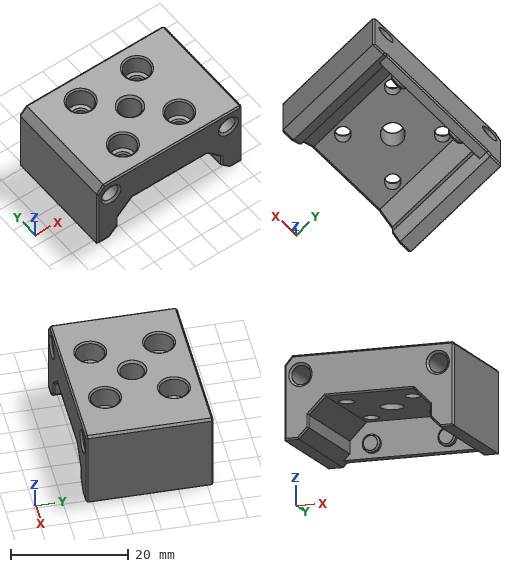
import cadquery as cq

length = 30.8
depth = 22.19
height = 14.75
front_y = -11.33
back_y = front_y + depth
half_length = length / 2
edge_chamfer = 0.3
top_right_chamfer = 0.4
left_bevel_width = 1.4
left_bevel_height = 1.65

channel_height = 7.15
channel_half_width = 11.0
shoulder = 3.05
foot_height = 1.85

wall_thickness = 2.0
wall_bottom = 0.75
wall_overlap = 0.2
pin_diameter = 3.2
pin_length = 1.0
pin_chamfer = 0.3
pin_spacing = 13.75
pin_height = 3.2

center_diameter = 4.2
center_mouth = 5.0
screw_spacing = 12.0
screw_diameter = 2.8
screw_mouth = 3.4
counterbore_diameter = 5.0
counterbore_mouth = 5.6
counterbore_depth = 4.0

side_diameter = 3.4
side_mouth = 4.2
side_spacing = 24.95
side_height = 11.27


def front_plane(y):
    """Plane facing the front (-Y), with local X along X and local Y along Z."""
    return cq.Plane(origin=(0, y, 0), xDir=(1, 0, 0), normal=(0, -1, 0))


def make_body():
    shoulder_bottom = channel_height - shoulder
    channel_top_half_width = channel_half_width - shoulder
    foot_half_width = channel_half_width + foot_height
    profile = (
        cq.Workplane(front_plane(back_y))
        .moveTo(-half_length, 0)
        .lineTo(-half_length, height - left_bevel_height)
        .lineTo(-half_length + left_bevel_width, height)
        .lineTo(half_length - top_right_chamfer, height)
        .lineTo(half_length, height - top_right_chamfer)
        .lineTo(half_length, 0)
        .lineTo(foot_half_width, 0)
        .lineTo(channel_half_width, foot_height)
        .lineTo(channel_half_width, shoulder_bottom)
        .lineTo(channel_top_half_width, channel_height)
        .lineTo(-channel_top_half_width, channel_height)
        .lineTo(-channel_half_width, shoulder_bottom)
        .lineTo(-channel_half_width, foot_height)
        .lineTo(-foot_half_width, 0)
        .close()
    )
    return profile.extrude(depth)


def make_rear_wall():
    wall_half_width = channel_half_width + foot_height - wall_bottom
    wall_top = channel_height + wall_overlap
    return (
        cq.Workplane(front_plane(back_y))
        .moveTo(-wall_half_width, wall_bottom)
        .lineTo(wall_half_width, wall_bottom)
        .lineTo(wall_half_width, wall_top)
        .lineTo(-wall_half_width, wall_top)
        .close()
        .extrude(wall_thickness)
    )


def make_pins():
    return (
        cq.Workplane(front_plane(back_y - wall_thickness))
        .pushPoints([(-pin_spacing / 2, pin_height), (pin_spacing / 2, pin_height)])
        .circle(pin_diameter / 2)
        .extrude(pin_length)
        .faces("<Y")
        .chamfer(pin_chamfer)
    )


def hole_cutter(diameter, mouth_diameter, cut_depth):
    """Hole with a 45 degree countersunk mouth at Z = 0, running down to -cut_depth."""
    radius = diameter / 2
    mouth_radius = mouth_diameter / 2
    return (
        cq.Workplane("XZ")
        .moveTo(0, 0)
        .lineTo(mouth_radius, 0)
        .lineTo(radius, radius - mouth_radius)
        .lineTo(radius, -cut_depth)
        .lineTo(0, -cut_depth)
        .close()
        .revolve(360, (0, 0, 0), (0, 1, 0))
    )


def cut_vertical_holes(part):
    part = part.cut(hole_cutter(center_diameter, center_mouth, height).translate((0, 0, height)))
    counterbore = hole_cutter(counterbore_diameter, counterbore_mouth, counterbore_depth)
    floor_hole = hole_cutter(screw_diameter, screw_mouth, height)
    screw_cutter = counterbore.union(floor_hole.translate((0, 0, -counterbore_depth)))
    for x in (-screw_spacing / 2, screw_spacing / 2):
        for y in (-screw_spacing / 2, screw_spacing / 2):
            part = part.cut(screw_cutter.translate((x, y, height)))
    return part


def cut_side_holes(part):
    cutter = hole_cutter(side_diameter, side_mouth, depth).rotate((0, 0, 0), (1, 0, 0), 90)
    for x in (-side_spacing / 2, side_spacing / 2):
        part = part.cut(cutter.translate((x, front_y, side_height)))
    return part


body = make_body().union(make_rear_wall())
body = body.faces("<Y or >Y").chamfer(edge_chamfer)
body = body.union(make_pins())
body = cut_vertical_holes(body)
result = cut_side_holes(body)